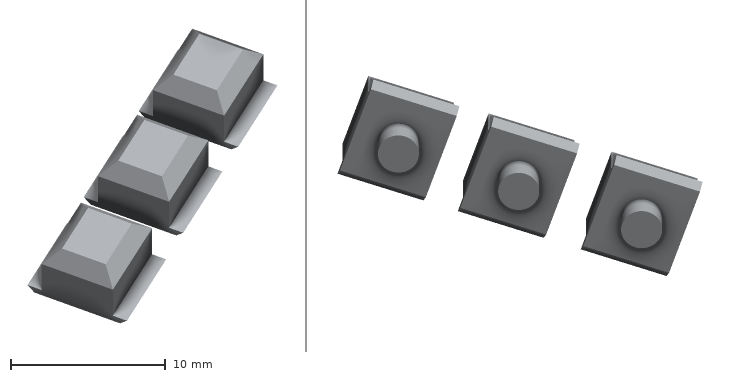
import cadquery as cq

row_length = 22.5
total_width = 7.13
total_height = 5.8

block_length = 5.87
bevel = 1.0

wing_reach = 1.01
wing_thickness = 0.5
block_width = total_width - 2 * wing_reach
wing_bottom_width = total_width - 2 * wing_thickness

peg_diameter = 2.65
peg_length = 1.78
peg_offset_x = -0.07
peg_offset_y = 0.02
block_height = total_height - peg_length

end_center_y = (row_length - block_length) / 2
middle_center_y = 0.1
button_centers_y = [-end_center_y, middle_center_y, end_center_y]


def make_block():
    """Rectangular block on Z = 0 with all four top edges bevelled."""
    block = cq.Workplane("XY").box(
        block_width, block_length, block_height, centered=(True, True, False)
    )
    return block.faces(">Z").edges().chamfer(bevel)


def make_wings():
    """Flat plate through the block, narrower at the bottom, forming both wings."""
    return (
        cq.Workplane("XZ")
        .moveTo(-wing_bottom_width / 2, 0)
        .lineTo(wing_bottom_width / 2, 0)
        .lineTo(total_width / 2, wing_thickness)
        .lineTo(-total_width / 2, wing_thickness)
        .close()
        .extrude(block_length / 2, both=True)
    )


def make_peg():
    """Round peg hanging from the underside of the block."""
    return (
        cq.Workplane("XY")
        .center(peg_offset_x, peg_offset_y)
        .circle(peg_diameter / 2)
        .extrude(-peg_length)
    )


def make_button(center_y):
    """One button: block, wings and peg in a single solid."""
    button = make_block().union(make_wings()).union(make_peg())
    return button.translate((0, center_y, 0))


buttons = []
for button_center_y in button_centers_y:
    buttons.append(make_button(button_center_y).val())

result = cq.Compound.makeCompound(
    [solid for button in buttons for solid in button.Solids()]
)